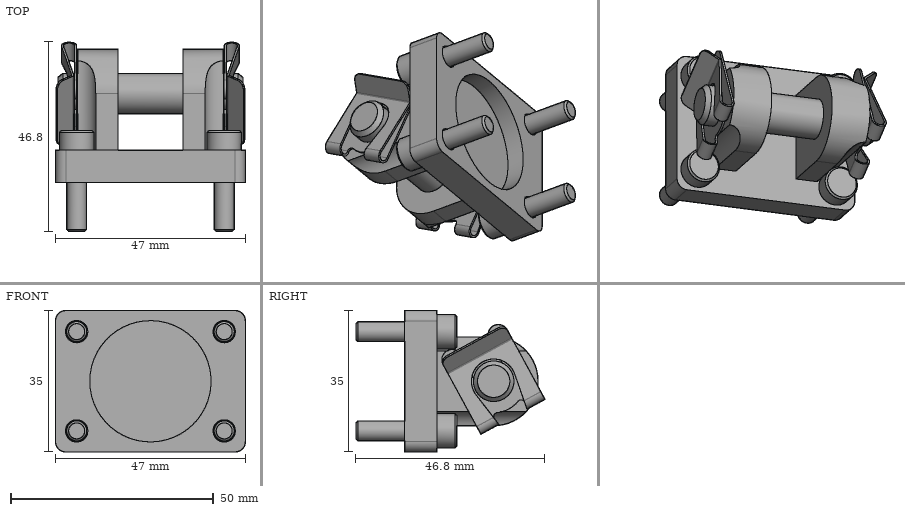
import cadquery as cq
import math


PLATE_WIDTH = 47.0
PLATE_HEIGHT = 35.0
PLATE_THICKNESS = 8.0
PLATE_CORNER_RADIUS = 2.6
RECESS_DIAMETER = 30.0
RECESS_DEPTH = 4.5

SCREW_X = 18.25
SCREW_Z = 12.25
SCREW_DIAMETER = 5.0
SCREW_HOLE_DIAMETER = 5.5
SCREW_PROTRUSION = 12.1
SCREW_TIP_CHAMFER = 0.5
HEAD_DIAMETER = 8.5
HEAD_HEIGHT = 4.9
HEAD_CHAMFER = 0.45

LUG_INNER_X = 8.0
LUG_OUTER_X = 18.0
LUG_RADIUS = 11.0
HINGE_Y = 22.0
SCOOP_DIAMETER = 9.8
SCOOP_Z = 12.35

PIN_DIAMETER = 10.0
PIN_LENGTH = 45.8
PIN_END_CHAMFER_LENGTH = 1.2
PIN_END_DIAMETER = 8.0
GROOVE_DIAMETER = 8.0

SHEET = 0.5
CLIP_GAP = 0.25
CLIP_HALF_WIDTH = 9.02
CLIP_ANGLE = 28.5
BEND_OUTER_RADIUS = 1.9
CLIP_TIP = 10.0
FORK_TILT = 9.6
FOLD_HEIGHT = 7.15
FOLD_INNER_RADIUS = 0.25
TAB_ANGLE = 47.5
TAB_LENGTH = 5.25
TAB_CORNER_RADIUS = 1.97
FORK_HOLE_DIAMETER = 11.0
FORK_MOUTH_ANGLE = 9.2
BASE_DISC_RADIUS = 7.8
BASE_RELIEF_RADIUS = 0.95
PRONG_CENTRE_HEIGHT = 9.6

BASE_INNER_X = LUG_OUTER_X + CLIP_GAP
BASE_OUTER_X = BASE_INNER_X + SHEET
BEND_INNER_RADIUS = BEND_OUTER_RADIUS - SHEET
BEND_HEIGHT = -(CLIP_TIP - BEND_OUTER_RADIUS)


def along_y(start_y):
    """Workplane facing +Y at the given depth; its local x is -X and its local y is Z."""
    return cq.Workplane("XZ", origin=(0, start_y, 0)).transformed(rotate=(0, 180, 0))


def along_x(start_x):
    """Workplane facing +X at the given station; its local axes are Y and Z."""
    return cq.Workplane("YZ", origin=(start_x, 0, 0))


def screw_places():
    return [(x, z) for x in (-SCREW_X, SCREW_X) for z in (-SCREW_Z, SCREW_Z)]


def make_lug():
    """One lug on the +X side: straight flanks, a round end and scoops that clear the screw heads."""
    thickness = LUG_OUTER_X - LUG_INNER_X
    flank_length = HINGE_Y - PLATE_THICKNESS
    lug = along_x(LUG_INNER_X).center(HINGE_Y, 0).circle(LUG_RADIUS).extrude(thickness)
    flanks = (
        along_x(LUG_INNER_X)
        .center(PLATE_THICKNESS + flank_length / 2, 0)
        .rect(flank_length, 2 * LUG_RADIUS)
        .extrude(thickness)
    )
    scoops = (
        along_y(PLATE_THICKNESS)
        .pushPoints([(-SCREW_X, -SCOOP_Z), (-SCREW_X, SCOOP_Z)])
        .circle(SCOOP_DIAMETER / 2)
        .extrude(HINGE_Y + LUG_RADIUS - PLATE_THICKNESS)
    )
    return lug.union(flanks).cut(scoops)


def make_bracket():
    plate = (
        along_y(0)
        .rect(PLATE_WIDTH, PLATE_HEIGHT)
        .extrude(PLATE_THICKNESS)
        .edges("|Y")
        .fillet(PLATE_CORNER_RADIUS)
    )
    recess = along_y(0).circle(RECESS_DIAMETER / 2).extrude(RECESS_DEPTH)
    screw_holes = (
        along_y(0)
        .pushPoints(screw_places())
        .circle(SCREW_HOLE_DIAMETER / 2)
        .extrude(PLATE_THICKNESS)
    )
    pin_hole = (
        along_x(-LUG_OUTER_X)
        .center(HINGE_Y, 0)
        .circle(PIN_DIAMETER / 2)
        .extrude(2 * LUG_OUTER_X)
    )
    lug = make_lug()
    return plate.cut(recess).cut(screw_holes).union(lug).union(lug.mirror("YZ")).cut(pin_hole)


def make_screw(x, z):
    shank = (
        along_y(-SCREW_PROTRUSION)
        .circle(SCREW_DIAMETER / 2)
        .extrude(SCREW_PROTRUSION + PLATE_THICKNESS)
        .faces("<Y")
        .chamfer(SCREW_TIP_CHAMFER)
    )
    head = (
        along_y(PLATE_THICKNESS)
        .circle(HEAD_DIAMETER / 2)
        .extrude(HEAD_HEIGHT)
        .faces(">Y")
        .chamfer(HEAD_CHAMFER)
    )
    return shank.union(head).translate((x, 0, z))


def make_pin():
    """Turned pin: half of its lengthwise section, spun about the X axis."""
    radius = PIN_DIAMETER / 2
    end_x = PIN_LENGTH / 2
    right_side = [
        (BASE_INNER_X, radius),
        (BASE_INNER_X, GROOVE_DIAMETER / 2),
        (BASE_OUTER_X, GROOVE_DIAMETER / 2),
        (BASE_OUTER_X, radius),
        (end_x - PIN_END_CHAMFER_LENGTH, radius),
        (end_x, PIN_END_DIAMETER / 2),
        (end_x, 0),
    ]
    left_side = [(-x, y) for x, y in reversed(right_side)]
    return (
        cq.Workplane("XY")
        .polyline(left_side + right_side)
        .close()
        .revolve(360, (0, 0, 0), (1, 0, 0))
        .translate((0, HINGE_Y, 0))
    )



def mouth_half_width(height):
    """Half the opening between the fork legs, whose edges are tangent to the fork hole."""
    angle = math.radians(FORK_MOUTH_ANGLE)
    return FORK_HOLE_DIAMETER / 2 / math.cos(angle) + height * math.tan(angle)


def make_clip_base():
    """Flat base plate: two prongs around the groove, a rounded web below and two legs to the bend."""
    slot_radius = GROOVE_DIAMETER / 2
    prong_radius = (CLIP_HALF_WIDTH - slot_radius) / 2
    leg_inner = mouth_half_width(BEND_HEIGHT)
    body_height = PRONG_CENTRE_HEIGHT - BEND_HEIGHT
    base = (
        along_x(BASE_INNER_X)
        .center(0, BEND_HEIGHT + body_height / 2)
        .rect(2 * CLIP_HALF_WIDTH, body_height)
        .extrude(SHEET)
    )
    prong_ends = (
        along_x(BASE_INNER_X)
        .pushPoints([(side * (CLIP_HALF_WIDTH - prong_radius), PRONG_CENTRE_HEIGHT) for side in (-1, 1)])
        .circle(prong_radius)
        .extrude(SHEET)
    )
    groove_seat = along_x(BASE_INNER_X).circle(slot_radius).extrude(SHEET)
    slot = (
        along_x(BASE_INNER_X)
        .center(0, CLIP_HALF_WIDTH)
        .rect(2 * slot_radius, 2 * CLIP_HALF_WIDTH)
        .extrude(SHEET)
    )
    relief_y = leg_inner - BASE_RELIEF_RADIUS
    relief_z = -math.sqrt((BASE_DISC_RADIUS + BASE_RELIEF_RADIUS) ** 2 - relief_y**2)
    touch = BASE_DISC_RADIUS / (BASE_DISC_RADIUS + BASE_RELIEF_RADIUS)
    diagonal = BASE_RELIEF_RADIUS * math.sqrt(0.5)
    leg_space = (
        along_x(BASE_INNER_X)
        .moveTo(-leg_inner, -CLIP_TIP)
        .lineTo(-leg_inner, relief_z)
        .threePointArc((-relief_y - diagonal, relief_z + diagonal), (-relief_y * touch, relief_z * touch))
        .threePointArc((0, -BASE_DISC_RADIUS), (relief_y * touch, relief_z * touch))
        .threePointArc((relief_y + diagonal, relief_z + diagonal), (leg_inner, relief_z))
        .lineTo(leg_inner, -CLIP_TIP)
        .close()
        .extrude(SHEET)
    )
    return base.union(prong_ends).cut(groove_seat).cut(slot).cut(leg_space)


def make_clip_fork():
    """Bend, sprung fork and finger tab: one strip section drawn in X-Z and extruded over the width."""
    tilt = math.radians(FORK_TILT)
    tab = math.radians(TAB_ANGLE)
    bend_x = BASE_INNER_X + BEND_OUTER_RADIUS

    def bend_point(radius, angle):
        return (bend_x + radius * math.cos(angle), BEND_HEIGHT + radius * math.sin(angle))

    def fold_point(radius):
        """Meeting point of the fork and tab faces that continue the bend surface of this radius."""
        start_x, start_z = bend_point(radius, tilt)
        depth = radius - BEND_OUTER_RADIUS
        z = FOLD_HEIGHT - depth * math.tan((tilt + tab) / 2)
        return (start_x - (z - start_z) * math.tan(tilt), z)

    def nearest_edge(section_point, y):
        return cq.selectors.NearestToPointSelector((section_point[0], y, section_point[1]))

    outer_fold = fold_point(BEND_OUTER_RADIUS)
    inner_fold = fold_point(BEND_INNER_RADIUS)
    tab_end = (outer_fold[0] + TAB_LENGTH * math.sin(tab), outer_fold[1] + TAB_LENGTH * math.cos(tab))
    tab_end_back = (tab_end[0] - SHEET * math.cos(tab), tab_end[1] + SHEET * math.sin(tab))
    middle_angle = (tilt - math.pi) / 2
    strip = (
        cq.Workplane("XZ", origin=(0, CLIP_HALF_WIDTH, 0))
        .moveTo(*bend_point(BEND_OUTER_RADIUS, math.pi))
        .threePointArc(bend_point(BEND_OUTER_RADIUS, middle_angle), bend_point(BEND_OUTER_RADIUS, tilt))
        .lineTo(*outer_fold)
        .lineTo(*tab_end)
        .lineTo(*tab_end_back)
        .lineTo(*inner_fold)
        .lineTo(*bend_point(BEND_INNER_RADIUS, tilt))
        .threePointArc(bend_point(BEND_INNER_RADIUS, middle_angle), bend_point(BEND_INNER_RADIUS, math.pi))
        .close()
        .extrude(2 * CLIP_HALF_WIDTH)
    )
    strip = (
        strip.edges(nearest_edge(outer_fold, 0))
        .fillet(FOLD_INNER_RADIUS)
        .edges(nearest_edge(inner_fold, 0))
        .fillet(FOLD_INNER_RADIUS + SHEET)
    )
    tab_middle = ((tab_end[0] + tab_end_back[0]) / 2, (tab_end[1] + tab_end_back[1]) / 2)
    for side in (-1, 1):
        strip = (
            strip.edges(nearest_edge(tab_middle, side * CLIP_HALF_WIDTH))
            .fillet(TAB_CORNER_RADIUS)
        )

    angle = math.radians(FORK_MOUTH_ANGLE)
    tangent_y = FORK_HOLE_DIAMETER / 2 * math.cos(angle)
    tangent_z = -FORK_HOLE_DIAMETER / 2 * math.sin(angle)
    tip_half_width = mouth_half_width(-CLIP_TIP)
    opening = (
        along_x(BASE_INNER_X)
        .moveTo(-tip_half_width, -CLIP_TIP)
        .lineTo(-tangent_y, tangent_z)
        .threePointArc((0, FORK_HOLE_DIAMETER / 2), (tangent_y, tangent_z))
        .lineTo(tip_half_width, -CLIP_TIP)
        .close()
        .extrude(2 * BEND_OUTER_RADIUS)
    )
    return strip.cut(opening)


def make_clip():
    """The clip on the +X end of the pin, turned about the pin axis."""
    clip = make_clip_base().union(make_clip_fork())
    return clip.rotate((0, 0, 0), (1, 0, 0), CLIP_ANGLE).translate((0, HINGE_Y, 0))


bracket = make_bracket()
screws = [make_screw(x, z) for x, z in screw_places()]
pin = make_pin()
right_clip = make_clip()
clips = [right_clip, right_clip.mirror("YZ")]

result = cq.Compound.makeCompound([body.val() for body in [bracket, *screws, pin, *clips]])